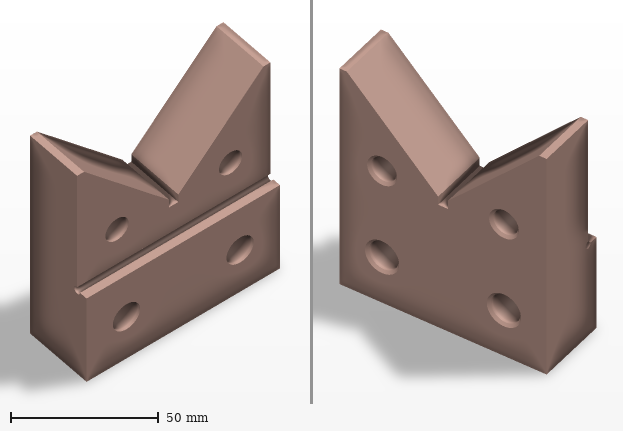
import cadquery as cq

thickness = 30.0
width = 85.0
height = 95.0

step_depth = 5.0
ledge_height = 40.0
relief_diameter = 3.0

top_land = 3.0
slot_width = 4.0
slot_depth = 41.0

hole_spacing = 50.0
upper_hole_height = 58.0
upper_hole_diameter = 10.2
lower_hole_height = 20.0
lower_hole_diameter = 12.0
hole_chamfer = 1.0

upright_thickness = thickness - step_depth
notch_half_width = width / 2 - top_land
slot_half_width = slot_width / 2
flank_depth = notch_half_width - slot_half_width


def stepped_block():
    profile = (
        cq.Workplane("XZ", origin=(0, width / 2, 0))
        .moveTo(0, 0)
        .lineTo(thickness, 0)
        .lineTo(thickness, ledge_height)
        .lineTo(upright_thickness, ledge_height)
        .lineTo(upright_thickness, height)
        .lineTo(0, height)
        .close()
    )
    return profile.extrude(width)


def corner_relief():
    return (
        cq.Workplane("XZ", origin=(0, width / 2, 0))
        .center(upright_thickness, ledge_height)
        .circle(relief_diameter / 2)
        .extrude(width)
    )


def v_notch():
    flank_bottom = height - flank_depth
    slot_bottom = height - slot_depth
    outline = [
        (-notch_half_width, height),
        (-slot_half_width, flank_bottom),
        (-slot_half_width, slot_bottom),
        (slot_half_width, slot_bottom),
        (slot_half_width, flank_bottom),
        (notch_half_width, height),
    ]
    return cq.Workplane("YZ").polyline(outline).close().extrude(thickness)


def hole_pair(diameter, hole_height):
    """Two through holes placed evenly about the centre plane."""
    centres = [(-hole_spacing / 2, hole_height), (hole_spacing / 2, hole_height)]
    return cq.Workplane("YZ").pushPoints(centres).circle(diameter / 2).extrude(thickness)


result = (
    stepped_block()
    .cut(corner_relief())
    .cut(v_notch())
    .cut(hole_pair(upper_hole_diameter, upper_hole_height))
    .cut(hole_pair(lower_hole_diameter, lower_hole_height))
    .faces("<X")
    .edges("%CIRCLE")
    .chamfer(hole_chamfer)
)